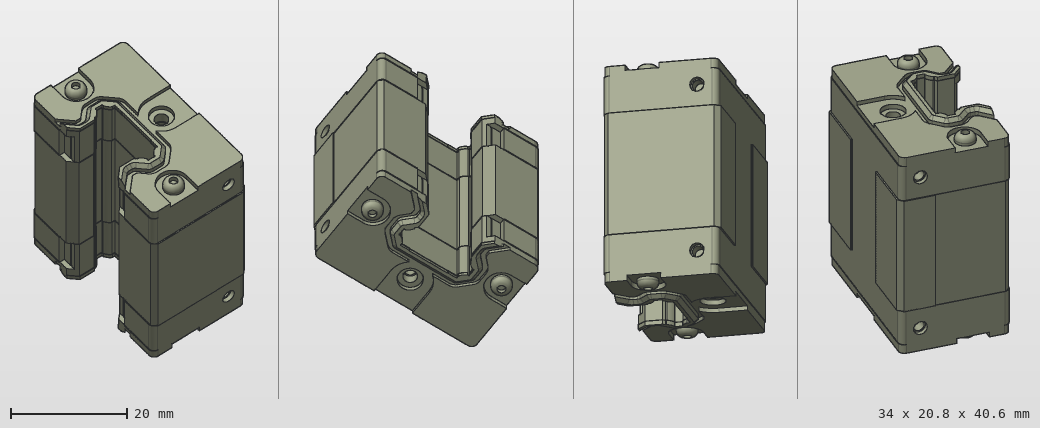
import cadquery as cq
import math


BLOCK_END = 11.0
CAP_END = 17.75
PLATE_END = 19.5
LIP_END = 20.3
CHANNEL_DEPTH = 0.75
CHANNEL_FLOOR = PLATE_END - CHANNEL_DEPTH

BLOCK_HALF_WIDTH = 17.0
BLOCK_BOTTOM = 0.15
BLOCK_TOP = 20.8
TOP_CHAMFER = 1.0
BOTTOM_CHAMFER = 0.9
REFERENCE_INSET = 0.15
REFERENCE_BOTTOM = 14.0
RELIEF_HALF_WIDTH = 5.8
RELIEF_DEPTH = 0.3
RELIEF_EDGE_BEVEL = 0.15

CAP_HALF_WIDTH = 16.75
CAP_HEIGHT = 20.5
PLATE_INSET = 0.15
CORNER_RADIUS = 1.1

NECK_HALF_WIDTH = 5.6
MOUTH_HALF_WIDTH = 7.2
NECK_TOP = 4.9
ROOF_HALF_WIDTH = 6.0
ROOF_Y = 9.8
RACE_Y = 7.34
RACE_HALF_WIDTH = 7.45
RACE_FLAT_HALF_HEIGHT = 0.74
RACE_SHOULDER = 0.32
FLANK_HALF_HEIGHT = 1.8
FLANK_BULGE = 0.08
SEAL_OVERHANG = 0.12
LIP_NOTCH_HALF_WIDTH = 4.0
LIP_NOTCH_ROOF = ROOF_Y - SEAL_OVERHANG / 2
BLOCK_CLEARANCE = 0.1

LIP_ROOF, LIP_SIDE, LIP_NECK = 11.1, 8.77, 6.7
LIP_SHOULDER_SUM = 17.58
LIP_UNDERCUT = 2.8
LIP_MOUTH_SUM = 9.15
LIP_SIDE_RADIUS = 1.2
LIP_NECK_RADIUS = 0.8
LIP_CHAMFER = 0.7
CHANNEL_ROOF, CHANNEL_SIDE, CHANNEL_NECK = 12.1, 9.76, 7.8
CHANNEL_SHOULDER_SUM = 18.82
CHANNEL_UNDERCUT = 4.1
CHANNEL_MOUTH_SUM = 10.5
CHANNEL_RADIUS = 1.9

PORT_Y = 15.25
PORT_RECESS_RADIUS = 4.0
PORT_SEAT_DIAMETER = 4.5
PORT_SEAT_DEPTH = 0.9
PORT_DIAMETER = 2.5
PORT_DEPTH = 2.0
PORT_CORE_DIAMETER = 2.0
PORT_CORE_DEPTH = 2.0
SIDE_PORT_Y = 16.7
SIDE_PORT_Z = 15.0
SIDE_PORT_MOUTH_DEPTH = 0.9

SCREW_X = 13.5
SCREW_Y = 7.2
SCREW_RECESS_RADIUS = 3.0
SCREW_RECESS_DEPTH = 0.95
SCREW_RECESS_Y = {-1: 7.3, 1: 7.0}
SCREW_SEAT = PLATE_END - SCREW_RECESS_DEPTH
HEAD_RADIUS = 1.9
HEAD_RIM = 0.5
HEAD_DOME_RADIUS = 1.15
SOCKET_DIAMETER = 1.5
SOCKET_DEPTH = 0.9

POCKET_OUTER_X = 9.05
POCKET_DEPTH = 1.15
SLOT_INNER_X = 7.1
SLOT_WIDTH = 0.25
SLOT_DEPTH = 0.3

BELOW = -3.0
DIAGONAL = math.sqrt(0.5)


def prism(outline, z_start, z_end):
    return outline.extrude(z_end - z_start).translate((0, 0, z_start))


def box(x_start, x_end, y_start, y_end, z_start, z_end):
    size = (x_end - x_start, y_end - y_start, z_end - z_start)
    corner = cq.Workplane("XY").box(*size, centered=False)
    return corner.translate((x_start, y_start, z_start))


def cylinder(radius, x, y, z_start, z_end):
    disc = cq.Workplane("XY").center(x, y).circle(radius)
    return prism(disc, z_start, z_end)


def half_turn(solid):
    """Copy for the -Z end: half a turn about the Y axis."""
    return solid.rotate((0, 0, 0), (0, 1, 0), 180)


def steel_block():
    low_left = -BLOCK_HALF_WIDTH + REFERENCE_INSET
    pad_edge = RELIEF_HALF_WIDTH + RELIEF_EDGE_BEVEL
    bevel_y = BLOCK_TOP - RELIEF_EDGE_BEVEL
    relief_y = BLOCK_TOP - RELIEF_DEPTH
    outline = cq.Workplane("XY").polyline([
        (low_left + BOTTOM_CHAMFER, BLOCK_BOTTOM),
        (BLOCK_HALF_WIDTH - BOTTOM_CHAMFER, BLOCK_BOTTOM),
        (BLOCK_HALF_WIDTH, BLOCK_BOTTOM + BOTTOM_CHAMFER),
        (BLOCK_HALF_WIDTH, BLOCK_TOP - TOP_CHAMFER),
        (BLOCK_HALF_WIDTH - TOP_CHAMFER, BLOCK_TOP),
        (pad_edge, BLOCK_TOP),
        (RELIEF_HALF_WIDTH, bevel_y),
        (RELIEF_HALF_WIDTH, relief_y),
        (-RELIEF_HALF_WIDTH, relief_y),
        (-RELIEF_HALF_WIDTH, bevel_y),
        (-pad_edge, BLOCK_TOP),
        (-BLOCK_HALF_WIDTH + TOP_CHAMFER, BLOCK_TOP),
        (-BLOCK_HALF_WIDTH, BLOCK_TOP - TOP_CHAMFER),
        (-BLOCK_HALF_WIDTH, REFERENCE_BOTTOM),
        (low_left, REFERENCE_BOTTOM),
        (low_left, BLOCK_BOTTOM + BOTTOM_CHAMFER),
    ]).close()
    return prism(outline, -BLOCK_END, BLOCK_END)


def rounded_slab(y_start, y_end, z_start, z_end):
    slab = box(-CAP_HALF_WIDTH, CAP_HALF_WIDTH, y_start, y_end, z_start, z_end)
    return slab.edges("|Z").fillet(CORNER_RADIUS)


def rail_opening(inset, z_start, z_end):
    """Rail clearance along Z; a positive inset brings its walls closer to the rail."""
    neck = NECK_HALF_WIDTH - inset
    roof_half = ROOF_HALF_WIDTH - inset
    race = RACE_HALF_WIDTH - inset
    flank_x = race - RACE_SHOULDER
    mid_x = (flank_x + roof_half) / 2 - FLANK_BULGE
    mid_rise = (RACE_FLAT_HALF_HEIGHT + FLANK_HALF_HEIGHT) / 2 - FLANK_BULGE
    mouth_drop = MOUTH_HALF_WIDTH - NECK_HALF_WIDTH
    neck_bottom = BLOCK_BOTTOM + mouth_drop
    outline = (
        cq.Workplane("XY")
        .moveTo(0, BELOW)
        .lineTo(neck + neck_bottom - BELOW, BELOW)
        .lineTo(neck, neck_bottom)
        .lineTo(neck, NECK_TOP)
        .lineTo(roof_half, NECK_TOP + roof_half - neck)
        .lineTo(roof_half, RACE_Y - FLANK_HALF_HEIGHT)
        .threePointArc((mid_x, RACE_Y - mid_rise), (flank_x, RACE_Y - RACE_FLAT_HALF_HEIGHT))
        .lineTo(race, RACE_Y - RACE_FLAT_HALF_HEIGHT)
        .lineTo(race, RACE_Y + RACE_FLAT_HALF_HEIGHT)
        .lineTo(flank_x, RACE_Y + RACE_FLAT_HALF_HEIGHT)
        .threePointArc((mid_x, RACE_Y + mid_rise), (roof_half, RACE_Y + FLANK_HALF_HEIGHT))
        .lineTo(roof_half, ROOF_Y - inset)
        .lineTo(0, ROOF_Y - inset)
        .mirrorY()
    )
    return prism(outline, z_start, z_end)


def arch(roof, side, neck, shoulder_sum, undercut, mouth_sum, z_start, z_end):
    """Sharp-cornered solid arch following the rail opening, open past the underside."""
    right = [
        (mouth_sum - BELOW, BELOW),
        (neck, mouth_sum - neck),
        (neck, neck - undercut),
        (side, side - undercut),
        (side, shoulder_sum - side),
        (shoulder_sum - roof, roof),
    ]
    left = [(-x, y) for x, y in reversed(right)]
    return prism(cq.Workplane("XY").polyline(right + left).close(), z_start, z_end)


def corner_edges(solid, y_start, y_end):
    """Select the Z-parallel edges of a solid whose heights lie in a band."""
    reach = 4 * BLOCK_HALF_WIDTH
    band = cq.selectors.BoxSelector((-reach, y_start, -reach), (reach, y_end, reach))
    return solid.edges("|Z").edges(band)


def lip():
    body = arch(LIP_ROOF, LIP_SIDE, LIP_NECK, LIP_SHOULDER_SUM, LIP_UNDERCUT, LIP_MOUTH_SUM,
                CHANNEL_FLOOR, LIP_END)
    neck_limit = (LIP_SIDE + LIP_NECK) / 2 - LIP_UNDERCUT
    body = corner_edges(body, neck_limit, CAP_HEIGHT).fillet(LIP_SIDE_RADIUS)
    body = corner_edges(body, 0, neck_limit).fillet(LIP_NECK_RADIUS)
    body = body.faces(">Z").chamfer(LIP_CHAMFER)
    underside = box(-CAP_HALF_WIDTH, CAP_HALF_WIDTH, 2 * BELOW, PLATE_INSET, CHANNEL_FLOOR, LIP_END)
    return body.cut(underside)


def end_channel():
    """Channel around the lip together with the recess around the end port."""
    channel = arch(CHANNEL_ROOF, CHANNEL_SIDE, CHANNEL_NECK, CHANNEL_SHOULDER_SUM,
                   CHANNEL_UNDERCUT, CHANNEL_MOUTH_SUM, CHANNEL_FLOOR, LIP_END)
    neck_limit = (CHANNEL_SIDE + CHANNEL_NECK) / 2 - CHANNEL_UNDERCUT
    channel = corner_edges(channel, neck_limit, CAP_HEIGHT).fillet(CHANNEL_RADIUS)
    round_end = cylinder(PORT_RECESS_RADIUS, 0, PORT_Y, CHANNEL_FLOOR, LIP_END)
    run_out = box(-PORT_RECESS_RADIUS, PORT_RECESS_RADIUS, PORT_Y, BLOCK_TOP, CHANNEL_FLOOR, LIP_END)
    return channel.union(round_end).union(run_out)


def end_port():
    seat_floor = CHANNEL_FLOOR - PORT_SEAT_DEPTH
    bore_floor = seat_floor - PORT_DEPTH
    seat = cylinder(PORT_SEAT_DIAMETER / 2, 0, PORT_Y, seat_floor, LIP_END)
    bore = cylinder(PORT_DIAMETER / 2, 0, PORT_Y, bore_floor, LIP_END)
    core = cylinder(PORT_CORE_DIAMETER / 2, 0, PORT_Y, bore_floor - PORT_CORE_DEPTH, LIP_END)
    return seat.union(bore).union(core)


def side_port(side):
    """Blind port in one side of the cap with a wider mouth."""
    mouth = PORT_DIAMETER / 2
    core = PORT_CORE_DIAMETER / 2
    depth = SIDE_PORT_MOUTH_DEPTH + PORT_CORE_DEPTH
    profile = cq.Workplane("XY").polyline([
        (0, 0),
        (mouth, 0),
        (mouth, SIDE_PORT_MOUTH_DEPTH),
        (core, SIDE_PORT_MOUTH_DEPTH),
        (core, depth),
        (0, depth),
    ]).close()
    port = profile.revolve(360, (0, 0, 0), (0, 1, 0))
    port = port.rotate((0, 0, 0), (0, 0, 1), 90 * side)
    return port.translate((side * CAP_HALF_WIDTH, SIDE_PORT_Y, SIDE_PORT_Z))


def screw_recess(side):
    y = SCREW_RECESS_Y[side]
    round_end = cylinder(SCREW_RECESS_RADIUS, side * SCREW_X, y, SCREW_SEAT, LIP_END)
    inner, outer = sorted((side * SCREW_X, side * BLOCK_HALF_WIDTH))
    run_out = box(inner, outer, y - SCREW_RECESS_RADIUS, y + SCREW_RECESS_RADIUS, SCREW_SEAT, LIP_END)
    return round_end.union(run_out)


def screw_head(side):
    top = HEAD_RIM + HEAD_DOME_RADIUS
    flat = HEAD_RADIUS - HEAD_DOME_RADIUS
    arc_middle = (flat + HEAD_DOME_RADIUS * DIAGONAL, HEAD_RIM + HEAD_DOME_RADIUS * DIAGONAL)
    head = (
        cq.Workplane("XZ")
        .lineTo(HEAD_RADIUS, 0)
        .lineTo(HEAD_RADIUS, HEAD_RIM)
        .threePointArc(arc_middle, (flat, top))
        .lineTo(0, top)
        .close()
        .revolve(360, (0, 0, 0), (0, 1, 0))
    )
    socket = cylinder(SOCKET_DIAMETER / 2, 0, 0, top - SOCKET_DEPTH, top)
    return head.cut(socket).translate((side * SCREW_X, SCREW_Y, SCREW_SEAT))


def underside_pocket(side):
    """Pocket that breaks into the rail mouth, with a narrow slot in its floor."""
    pocket = box(NECK_HALF_WIDTH, POCKET_OUTER_X, BELOW, POCKET_DEPTH, BLOCK_END, CAP_END)
    slot = box(SLOT_INNER_X, SLOT_INNER_X + SLOT_WIDTH, BELOW, POCKET_DEPTH + SLOT_DEPTH,
               BLOCK_END, CAP_END)
    pocket = pocket.union(slot)
    if side < 0:
        pocket = pocket.mirror("YZ")
    return pocket


def end_cap():
    cap = rounded_slab(0, CAP_HEIGHT, BLOCK_END, CAP_END)
    plate = rounded_slab(PLATE_INSET, CAP_HEIGHT - PLATE_INSET, CAP_END, PLATE_END)
    cap = cap.union(plate).cut(end_channel()).union(lip())
    cap = cap.cut(rail_opening(0, BLOCK_END, PLATE_END))
    cap = cap.cut(rail_opening(SEAL_OVERHANG, PLATE_END, LIP_END))
    cap = cap.cut(box(-LIP_NOTCH_HALF_WIDTH, LIP_NOTCH_HALF_WIDTH, 0, LIP_NOTCH_ROOF,
                      PLATE_END, LIP_END))
    cap = cap.cut(end_port())
    for side in (-1, 1):
        cap = cap.cut(side_port(side))
        cap = cap.cut(underside_pocket(side))
        cap = cap.cut(screw_recess(side))
        cap = cap.union(screw_head(side))
    return cap


block = steel_block().cut(rail_opening(-BLOCK_CLEARANCE, -BLOCK_END, BLOCK_END))
cap = end_cap()
result = block.union(cap).union(half_turn(cap))